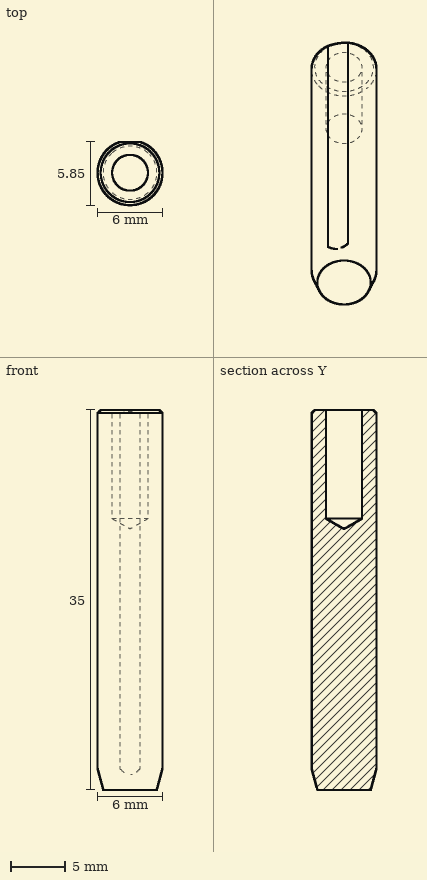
import cadquery as cq
import math

PIN_DIAMETER = 6.0
PIN_LENGTH = 35.0
TOP_CHAMFER = 0.3

LEAD_IN_LENGTH = 2.0
LEAD_IN_ANGLE = 15.0

FLAT_DEPTH = 0.15

HOLE_DIAMETER = 3.3
HOLE_DEPTH = 10.0
DRILL_POINT_ANGLE = 120.0

pin_radius = PIN_DIAMETER / 2
tip_radius = pin_radius - LEAD_IN_LENGTH * math.tan(math.radians(LEAD_IN_ANGLE))
hole_radius = HOLE_DIAMETER / 2
drill_point_height = hole_radius / math.tan(math.radians(DRILL_POINT_ANGLE / 2))


def make_pin_body():
    """Solid pin with a tapered lead-in below and a 45 degree chamfer on top."""
    half_profile = (
        cq.Workplane("XZ")
        .moveTo(0, 0)
        .lineTo(tip_radius, 0)
        .lineTo(pin_radius, LEAD_IN_LENGTH)
        .lineTo(pin_radius, PIN_LENGTH - TOP_CHAMFER)
        .lineTo(pin_radius - TOP_CHAMFER, PIN_LENGTH)
        .lineTo(0, PIN_LENGTH)
        .close()
    )
    return half_profile.revolve(360, (0, 0, 0), (0, 1, 0))


def make_hole():
    """Blind hole from the top face, ending in a conical drill point."""
    hole_floor = PIN_LENGTH - HOLE_DEPTH
    half_profile = (
        cq.Workplane("XZ")
        .moveTo(0, hole_floor - drill_point_height)
        .lineTo(hole_radius, hole_floor)
        .lineTo(hole_radius, PIN_LENGTH)
        .lineTo(0, PIN_LENGTH)
        .close()
    )
    return half_profile.revolve(360, (0, 0, 0), (0, 1, 0))


def make_flat_cutter():
    """Block that shaves a narrow flat along the whole +Y side."""
    flat_y = pin_radius - FLAT_DEPTH
    return (
        cq.Workplane("XY")
        .center(0, flat_y + pin_radius / 2)
        .rect(PIN_DIAMETER, pin_radius)
        .extrude(PIN_LENGTH)
    )


result = make_pin_body().cut(make_hole()).cut(make_flat_cutter())